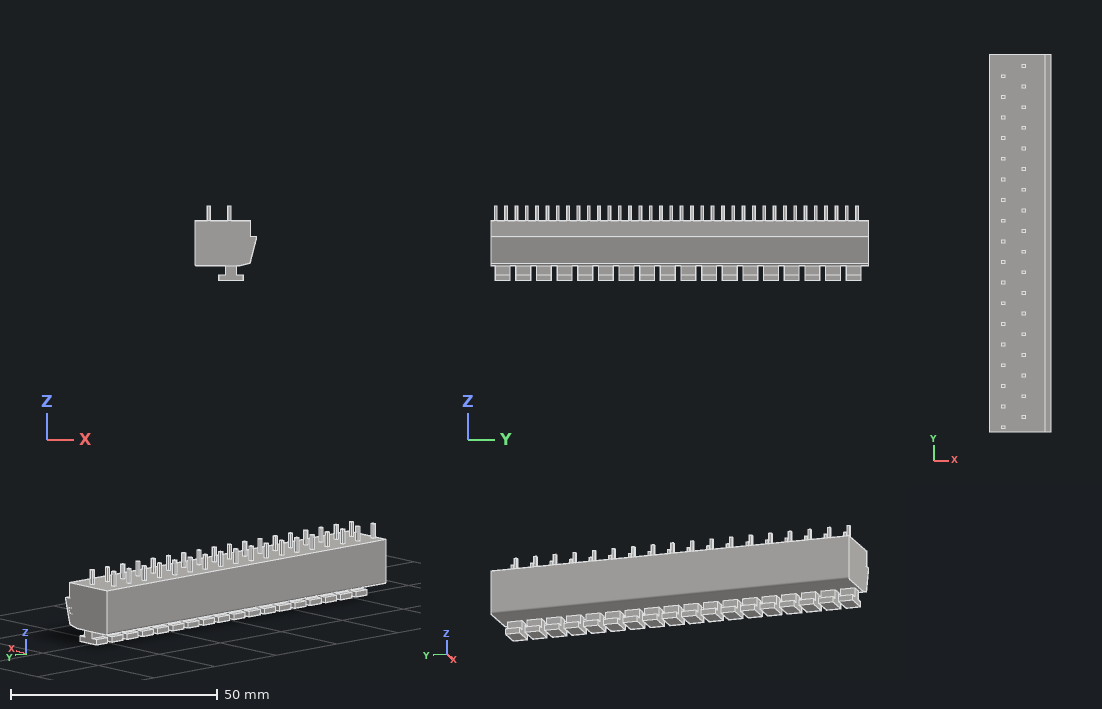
import cadquery as cq
import math

LENGTH = 91.5
PART_HEIGHT = 18.1
PIN_LENGTH = 3.6
BODY_TOP = PART_HEIGHT - PIN_LENGTH
BODY_BOTTOM = 3.6
BODY_WIDTH = 13.5
BOTTOM_FILLET = 0.55
LEDGE_TIP_X = 15.0
LEDGE_DEPTH = 3.8
LEDGE_TIP_RADIUS = 0.3
SLANT_ANGLE = 14.5
HEEL_RISE = 0.6
FLAT_END_X = 10.8

CHANNEL_FLOOR_X = 12.6
CHANNEL_BOTTOM = 6.9
CHANNEL_HEIGHT = 1.5
CHANNEL_BOTTOM_WIDTH = 0.9
CHANNEL_TOP_WIDTH = 1.5
CHANNEL_END_WALL = 0.3

POLES = 18
END_WALL = 1.5
PITCH = (LENGTH - END_WALL) / POLES

PIN_WIDTH = 0.8
PIN_THICKNESS = 0.69
PIN_ROW_X = 3.4
FIRST_PIN_Y = 1.2

BUTTON_X = 8.8
BUTTON_LENGTH = 3.7
FIRST_BUTTON_Y = 2.8
FOOT_WIDTH = 6.0
FOOT_HEIGHT = 1.4
NECK_WIDTH = 2.7


def box(width, length, height, x, y, bottom):
    """Box centred on x and y, standing on the given height."""
    return (
        cq.Workplane("XY", origin=(x, y, bottom))
        .box(width, length, height, centered=(True, True, False))
    )


def housing():
    slant = math.radians(SLANT_ANGLE)
    ledge_z = BODY_TOP - LEDGE_DEPTH
    heel_z = BODY_BOTTOM + HEEL_RISE

    tip_centre_x = LEDGE_TIP_X - LEDGE_TIP_RADIUS
    tip_centre_z = ledge_z - LEDGE_TIP_RADIUS
    slant_top_x = tip_centre_x + LEDGE_TIP_RADIUS * math.cos(slant)
    slant_top_z = tip_centre_z - LEDGE_TIP_RADIUS * math.sin(slant)
    heel_x = slant_top_x - (slant_top_z - heel_z) * math.tan(slant)

    body = (
        cq.Workplane("XZ")
        .moveTo(0, BODY_BOTTOM)
        .lineTo(FLAT_END_X, BODY_BOTTOM)
        .lineTo(heel_x, heel_z)
        .lineTo(slant_top_x, slant_top_z)
        .tangentArcPoint((tip_centre_x, ledge_z), relative=False)
        .lineTo(BODY_WIDTH, ledge_z)
        .lineTo(BODY_WIDTH, BODY_TOP)
        .lineTo(0, BODY_TOP)
        .close()
        .extrude(-LENGTH)
    )
    bottom_edge = cq.NearestToPointSelector((0, LENGTH / 2, BODY_BOTTOM))
    return body.edges(bottom_edge).fillet(BOTTOM_FILLET)


def channel():
    top = CHANNEL_BOTTOM + CHANNEL_HEIGHT
    outline = [
        (CHANNEL_FLOOR_X, CHANNEL_BOTTOM),
        (CHANNEL_FLOOR_X + CHANNEL_BOTTOM_WIDTH, CHANNEL_BOTTOM),
        (CHANNEL_FLOOR_X + CHANNEL_TOP_WIDTH, top),
        (CHANNEL_FLOOR_X, top),
    ]
    return (
        cq.Workplane("XZ", origin=(0, CHANNEL_END_WALL, 0))
        .polyline(outline)
        .close()
        .extrude(-(LENGTH - 2 * CHANNEL_END_WALL))
    )


def pin(x, y):
    return box(PIN_WIDTH, PIN_THICKNESS, PIN_LENGTH, x, y, BODY_TOP)


def button(y):
    foot = box(FOOT_WIDTH, BUTTON_LENGTH, FOOT_HEIGHT, BUTTON_X, y, 0)
    neck = box(NECK_WIDTH, BUTTON_LENGTH, BODY_BOTTOM - FOOT_HEIGHT, BUTTON_X, y, FOOT_HEIGHT)
    return foot.union(neck)


result = housing().cut(channel())
for pole in range(POLES):
    offset = pole * PITCH
    result = result.union(pin(PIN_ROW_X, FIRST_PIN_Y + offset))
    result = result.union(pin(PIN_ROW_X + PITCH, FIRST_PIN_Y + PITCH / 2 + offset))
    result = result.union(button(FIRST_BUTTON_Y + offset))